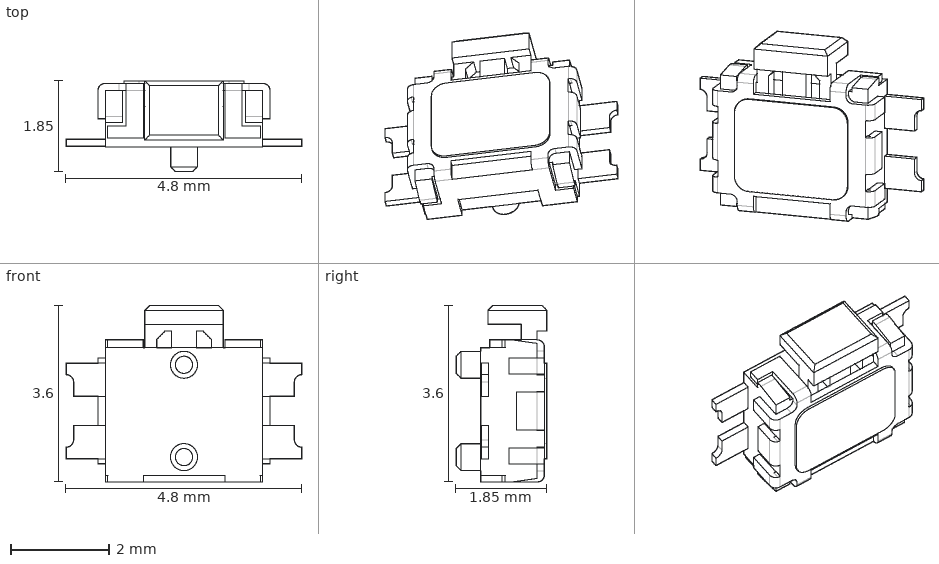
import cadquery as cq
import math


half_width = 1.6
half_height = 1.45
housing_back = 1.15
shoulder_top = 1.29
shoulder_bottom = -1.31
lug_inner_x = 1.25
lug_front_y = 0.5
lug_taper_start_y = 0.62
lug_taper_drop = 0.075

cover_thickness = 0.15
cover_back = housing_back + cover_thickness
tab_inner_x = 0.83
tab_outer_x = 1.18
foot_outer_x = 1.555
foot_back_y = 0.435
upper_foot_front_y = 0.185
lower_foot_front_y = 0.0
corner_fillet = 0.145
tab_bend_radius = 0.149
leg_outer_x = half_width + 0.155
outer_leg_top = 1.08
outer_leg_bottom = 0.75
outer_leg_front_y = 0.575
middle_leg_half_height = 0.385
middle_leg_front_y = 0.735
root_fillet_radius = 0.1
root_fillet_width = 0.05

pad_width = 2.45
pad_height = 1.95
pad_radius = 0.31
pad_rise = 0.05
pad_back = cover_back + pad_rise

button_half_width = 0.8
button_top = 2.15
button_chamfer = 0.1
button_front_y = 0.145
head_bottom = 1.765
skirt_bottom = 1.625
stem_front_y = 0.825
stem_back_y = housing_back
window_inner_x = 0.255
window_outer_x = 0.555
window_chamfer = 0.17
window_floor = 0.94

terminal_tip_x = 2.4
terminal_front_y = 0.013
terminal_thickness = 0.15
terminal_outer_z = 0.975
terminal_inner_z = 0.294
terminal_notch_radius = 0.15
tip_inner_z = 0.737

peg_radius = 0.275
peg_length = 0.5
peg_chamfer = 0.1
peg_z = 0.94


def block(x_range, y_range, z_range):
    """Axis-aligned box between the given pairs of limits, in either order."""
    ranges = [sorted(limits) for limits in (x_range, y_range, z_range)]
    size = [high - low for low, high in ranges]
    low_corner = cq.Vector(*[low for low, high in ranges])
    return cq.Workplane(obj=cq.Solid.makeBox(*size, low_corner))


def extrude_along_y(outline, y_start, y_end):
    """Extrude an outline drawn on an XZ workplane from y_start to y_end."""
    return outline.extrude(y_start - y_end).translate((0, y_start, 0))


def both_sides(solid):
    """The solid together with its mirror image across X = 0."""
    return solid.union(solid.mirror("YZ"))


def corner_lug(z_side):
    """Raised housing corner on the +X side, tapering towards the back."""
    root_z = shoulder_top if z_side > 0 else shoulder_bottom
    end_z = z_side * half_height
    return (
        cq.Workplane("YZ", origin=(lug_inner_x, 0, 0))
        .moveTo(lug_front_y, root_z)
        .lineTo(lug_front_y, end_z)
        .lineTo(lug_taper_start_y, end_z)
        .lineTo(housing_back, end_z - z_side * lug_taper_drop)
        .lineTo(housing_back, root_z)
        .close()
        .extrude(half_width - lug_inner_x)
    )


def make_housing():
    core = block((-half_width, half_width), (0, housing_back), (shoulder_bottom, shoulder_top))
    bottom_rib = block(
        (-tab_inner_x, tab_inner_x), (lug_front_y, housing_back), (-half_height, shoulder_bottom)
    )
    lugs = both_sides(corner_lug(1)).union(both_sides(corner_lug(-1)))
    return core.union(bottom_rib).union(lugs)


def corner_web(z_side):
    """Part of the cover back between a tab and the outer leg, with a concave fillet."""
    edge_z = z_side * outer_leg_top
    fillet_end_z = edge_z + z_side * corner_fillet
    fillet_mid = corner_fillet * math.sqrt(0.5)
    fillet_center_x = tab_outer_x + corner_fillet
    outline = (
        cq.Workplane("XZ")
        .moveTo(tab_inner_x, edge_z)
        .lineTo(tab_inner_x, fillet_end_z)
        .lineTo(tab_outer_x, fillet_end_z)
        .threePointArc(
            (fillet_center_x - fillet_mid, fillet_end_z - z_side * fillet_mid),
            (fillet_center_x, edge_z),
        )
        .close()
    )
    return extrude_along_y(outline, housing_back, cover_back)


def cover_tab(z_side, foot_front_y):
    """L-shaped tab folded over the housing end on the +X side."""
    root_z = shoulder_top if z_side > 0 else shoulder_bottom
    end_z = z_side * half_height
    x_range = (tab_inner_x, tab_outer_x)
    strip = block(x_range, (foot_front_y, housing_back), (root_z, end_z))
    foot = block((tab_inner_x, foot_outer_x), (foot_front_y, foot_back_y), (root_z, end_z))
    back_z_range = (z_side * outer_leg_top, end_z)
    back = block(x_range, (housing_back, cover_back), back_z_range)
    outer_edge = ">Y and >Z" if z_side > 0 else ">Y and <Z"
    bend = back.edges(outer_edge).fillet(tab_bend_radius)
    return strip.union(foot).union(bend)


def cover_leg(z_low, z_high, front_y):
    """Leg folded forward along the +X side of the housing."""
    bend_mid = math.sqrt(0.5)
    return (
        cq.Workplane("XY", origin=(0, 0, z_low))
        .moveTo(half_width, front_y)
        .lineTo(leg_outer_x, front_y)
        .lineTo(leg_outer_x, housing_back)
        .threePointArc(
            (
                leg_outer_x - cover_thickness * (1 - bend_mid),
                housing_back + cover_thickness * bend_mid,
            ),
            (leg_outer_x - cover_thickness, cover_back),
        )
        .lineTo(half_width, cover_back)
        .close()
        .extrude(z_high - z_low)
    )


def root_fillet(edge_z, z_side):
    """Concave sliver where a leg edge at edge_z, facing z_side, leaves the housing side."""
    tangent_x = half_width + root_fillet_width
    center_z = edge_z + z_side * root_fillet_radius

    def arc_point(x):
        return x, center_z - z_side * math.sqrt(root_fillet_radius**2 - (tangent_x - x) ** 2)

    outline = (
        cq.Workplane("XZ")
        .moveTo(half_width, edge_z)
        .lineTo(*arc_point(half_width))
        .threePointArc(arc_point(half_width + root_fillet_width / 2), (tangent_x, edge_z))
        .close()
    )
    sliver = extrude_along_y(outline, housing_back, cover_back)
    z_low, z_high = sorted((edge_z, center_z))
    return sliver.intersect(cover_leg(z_low, z_high, housing_back - cover_thickness))


def make_cover():
    back_y = (housing_back, cover_back)
    back = block((-half_width, half_width), back_y, (-outer_leg_top, outer_leg_top))
    pad = (
        cq.Workplane("XZ", origin=(0, pad_back, 0))
        .rect(pad_width, pad_height)
        .extrude(pad_rise)
        .edges("|Y")
        .fillet(pad_radius)
    )
    side = cover_leg(-middle_leg_half_height, middle_leg_half_height, middle_leg_front_y)
    for z_side, foot_front_y in ((1, upper_foot_front_y), (-1, lower_foot_front_y)):
        z_low, z_high = sorted((z_side * outer_leg_bottom, z_side * outer_leg_top))
        side = side.union(cover_leg(z_low, z_high, outer_leg_front_y))
        side = side.union(root_fillet(z_side * outer_leg_bottom, -z_side))
        side = side.union(root_fillet(z_side * middle_leg_half_height, z_side))
        side = side.union(corner_web(z_side)).union(cover_tab(z_side, foot_front_y))
    return back.union(pad).union(both_sides(side))


def stem_window():
    """Opening on the +X side through the stem and down into the housing, one corner cut off."""
    outline = (
        cq.Workplane("XZ")
        .moveTo(window_inner_x, window_floor)
        .lineTo(window_inner_x, skirt_bottom)
        .lineTo(window_outer_x - window_chamfer, skirt_bottom)
        .lineTo(window_outer_x, skirt_bottom - window_chamfer)
        .lineTo(window_outer_x, window_floor)
        .close()
    )
    return extrude_along_y(outline, stem_front_y, stem_back_y)


def make_button():
    x_range = (-button_half_width, button_half_width)
    head = block(x_range, (button_front_y, pad_back), (head_bottom, button_top))
    head = head.faces(">Z").chamfer(button_chamfer)
    skirt = block(x_range, (stem_front_y, pad_back), (skirt_bottom, head_bottom))
    stem = block(x_range, (stem_front_y, stem_back_y), (shoulder_top, skirt_bottom))
    return head.union(skirt).union(stem)


def make_terminals():
    """Four flat solder terminals with a concave notch at each tip."""
    notch_center_z = tip_inner_z - terminal_notch_radius
    notch_mid = terminal_notch_radius * math.sqrt(0.5)
    outline = (
        cq.Workplane("XZ")
        .moveTo(half_width, terminal_outer_z)
        .lineTo(terminal_tip_x, terminal_outer_z)
        .lineTo(terminal_tip_x, tip_inner_z)
        .threePointArc(
            (terminal_tip_x - notch_mid, notch_center_z + notch_mid),
            (terminal_tip_x - terminal_notch_radius, notch_center_z),
        )
        .lineTo(terminal_tip_x - terminal_notch_radius, terminal_inner_z)
        .lineTo(half_width, terminal_inner_z)
        .close()
    )
    terminal = extrude_along_y(outline, terminal_front_y, terminal_front_y + terminal_thickness)
    return both_sides(terminal.union(terminal.mirror("XY")))


def make_pegs():
    return (
        cq.Workplane("XZ")
        .pushPoints([(0, peg_z), (0, -peg_z)])
        .circle(peg_radius)
        .extrude(peg_length)
        .faces("<Y")
        .chamfer(peg_chamfer)
    )


result = make_housing()
for component in (make_cover(), make_button(), make_terminals(), make_pegs()):
    result = result.union(component)
result = result.cut(both_sides(stem_window()))